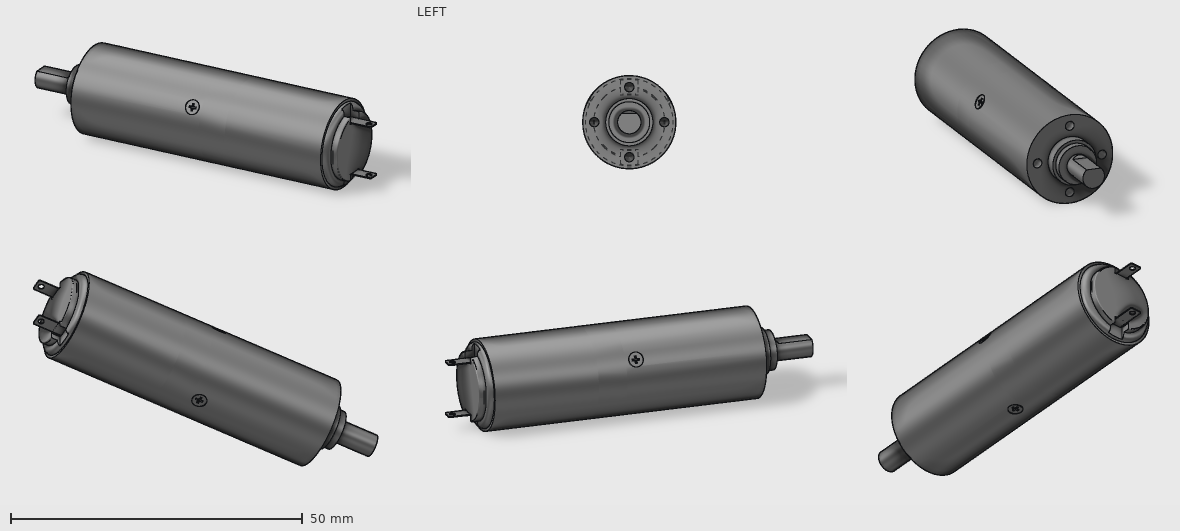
import cadquery as cq
import math


shaft_radius = 2.0
flat_height = 1.5
flat_length = 6.0

collar_start = 7.0
boss_start = 8.4
body_start = 10.5
gearbox_end = 35.7
adapter_end = 40.85
body_end = 59.7
cover_end = 60.65
cap_end = 61.9
terminal_end = 65.7

collar_radius = 3.5
boss_radius = 4.05
body_radius = 8.0
cover_radius = 7.5
cover_edge_radius = 1.0
cap_radius = 6.1
cap_edge_radius = 0.2

mount_hole_count = 4
mount_circle_radius = 6.0
mount_hole_radius = 0.8
mount_hole_depth = 4.0
drill_half_angle = math.radians(59)

screw_x = 33.8
screw_radius = 1.3
screw_angles = (30, 150, 270)
screw_face_height = 7.86
cross_length = 1.3
cross_width = 0.3
cross_depth = 0.4

terminal_height = 4.75
terminal_thickness = 0.2
terminal_width = 2.2
terminal_corner_radius = 0.3
terminal_hole_radius = 0.5
terminal_hole_x = terminal_end - 1.0
notch_start = 60.2
notch_width = 3.0

side_flat_length = 0.4
side_flat_width = 2.4


def cylinder(start, end, radius):
    """Cylinder along the motor axis between two stations."""
    return cq.Workplane("YZ", origin=(start, 0, 0)).circle(radius).extrude(end - start)


def box(x_range, y_range, z_range):
    """Axis-aligned box given by its limits."""
    size = [high - low for low, high in (x_range, y_range, z_range)]
    corner = [low for low, high in (x_range, y_range, z_range)]
    return cq.Workplane("XY").box(*size, centered=False).translate(tuple(corner))


def make_shaft():
    """D-shaped shaft whose flat runs out to the full round at 45 degrees."""
    run_out = shaft_radius - flat_height
    flat_cut = (
        cq.Workplane("XZ")
        .moveTo(0, flat_height)
        .lineTo(flat_length, flat_height)
        .lineTo(flat_length + run_out, shaft_radius)
        .lineTo(0, shaft_radius)
        .close()
        .extrude(shaft_radius, both=True)
    )
    return cylinder(0, body_start, shaft_radius).cut(flat_cut)


def make_housing():
    """Stepped front boss, three body sections, rounded cover and end cap."""
    cover = cylinder(adapter_end, cover_end, cover_radius).faces(">X").edges().fillet(cover_edge_radius)
    cap = cylinder(cover_end, cap_end, cap_radius).faces(">X").edges().fillet(cap_edge_radius)
    housing = cylinder(body_start, gearbox_end, body_radius)
    sections = (
        cylinder(collar_start, boss_start, collar_radius),
        cylinder(boss_start, body_start, boss_radius),
        cylinder(gearbox_end, adapter_end, body_radius),
        cylinder(adapter_end, body_end, body_radius),
        cover,
        cap,
    )
    for section in sections:
        housing = housing.union(section, clean=False)
    return housing


def mount_hole():
    """Blind drilled hole with a conical bottom, on the motor axis."""
    cone_depth = mount_hole_radius / math.tan(drill_half_angle)
    return (
        cq.Workplane("XY")
        .moveTo(body_start, 0)
        .lineTo(body_start, mount_hole_radius)
        .lineTo(body_start + mount_hole_depth, mount_hole_radius)
        .lineTo(body_start + mount_hole_depth + cone_depth, 0)
        .close()
        .revolve(360, (0, 0, 0), (1, 0, 0))
    )


def screw_recess(angle):
    """Flat head seat with a cross recess, turned to its place about the axis."""
    seat = cq.Workplane("XZ", origin=(screw_x, screw_face_height, 0)).circle(screw_radius)
    recess = seat.extrude(screw_face_height - body_radius)
    cross_floor = cq.Workplane("XZ", origin=(screw_x, screw_face_height - cross_depth, 0))
    for length, width in ((cross_length, cross_width), (cross_width, cross_length)):
        recess = recess.union(cross_floor.rect(length, width).extrude(-cross_depth))
    return recess.rotate((0, 0, 0), (1, 0, 0), angle)


def terminal_notch():
    """Open notch above the terminal, cut into the cap and the cover."""
    half_width = notch_width / 2
    floor = terminal_height - terminal_thickness / 2
    return box((notch_start, cap_end), (-half_width, half_width), (floor, body_radius))


def terminal():
    """Flat solder tag resting on the notch floor."""
    half_width = terminal_width / 2
    half_thickness = terminal_thickness / 2
    tag = box(
        (notch_start, terminal_end),
        (-half_width, half_width),
        (terminal_height - half_thickness, terminal_height + half_thickness),
    )
    tag = tag.edges("|Z and >X").fillet(terminal_corner_radius)
    hole = (
        cq.Workplane("XY", origin=(terminal_hole_x, 0, terminal_height))
        .circle(terminal_hole_radius)
        .extrude(terminal_thickness, both=True)
    )
    return tag.cut(hole)


def side_flat():
    """Shallow flat across the side of the cap; its chord is the flat width."""
    half_width = side_flat_width / 2
    flat_distance = math.sqrt(cap_radius**2 - half_width**2)
    return box(
        (cover_end, cover_end + side_flat_length),
        (flat_distance, cap_radius),
        (-half_width, half_width),
    )


result = make_housing().union(make_shaft(), clean=False)

for index in range(mount_hole_count):
    hole = mount_hole().translate((0, mount_circle_radius, 0))
    hole = hole.rotate((0, 0, 0), (1, 0, 0), index * 360 / mount_hole_count)
    result = result.cut(hole, clean=False)

for screw_angle in screw_angles:
    result = result.cut(screw_recess(screw_angle), clean=False)

for side in (0, 180):
    notch = terminal_notch().rotate((0, 0, 0), (1, 0, 0), side)
    flat = side_flat().rotate((0, 0, 0), (1, 0, 0), side)
    tag = terminal().rotate((0, 0, 0), (1, 0, 0), side)
    result = result.cut(notch, clean=False).cut(flat, clean=False).union(tag, clean=False)